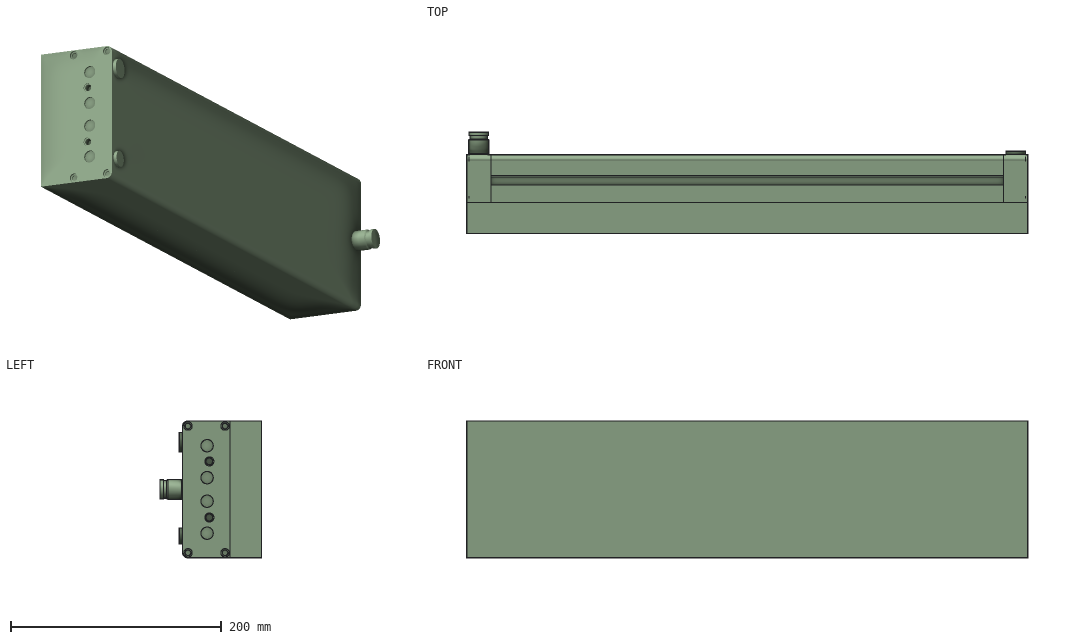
import cadquery as cq

length = 532.0
height = 130.0
plate_depth = 30.0
back_y = 75.0
connector_end_y = 96.5
cap_width = 23.0
back_edge_radius = 5.5

right_cap_x = length - cap_width
profile_length = length - 2 * cap_width
housing_depth = back_y - plate_depth

groove_front_y = 46.5
groove_back_y = 55.5
groove_ledge = 1.5
groove_depth = 6.5

screw_inset = 5.0
screw_back_inset = 5.5
screw_head_diameter = 8.0
screw_head_depth = 2.0
screw_core_diameter = 5.5
screw_core_depth = 3.0

plug_y = 51.5
plug_diameter = 11.5
plug_recess_depth = 2.0
plug_heights = (11.0, 41.5)
port_y = 49.5
port_height = 26.5
port_rim_diameter = 8.5
port_rim_depth = 1.0
port_diameter = 6.5
port_depth = 8.0

connector_diameter = 19.0
connector_neck_diameter = 17.0
connector_base_length = 1.0
connector_body_end_y = 90.0
connector_chamfer = 1.0
connector_collar_diameter = 18.5
connector_collar_y = 93.0

stud_length = 3.0
upper_stud_diameter = 18.5
upper_stud_z = 44.5
lower_stud_diameter = 15.5
lower_stud_z = -44.0


def housing_block(start_x, block_length):
    """Block behind the plate with its two long back edges rounded."""
    block = cq.Workplane("XY").box(block_length, housing_depth, height, centered=(False, False, True))
    return block.edges("|X and >Y").fillet(back_edge_radius).translate((start_x, plate_depth, 0))


def disc(x, z, diameter, start_y, end_y):
    """Cylinder along Y between two depths."""
    return cq.Workplane(
        cq.Solid.makeCylinder(diameter / 2, end_y - start_y, cq.Vector(x, start_y, z), cq.Vector(0, 1, 0))
    )


def blind_holes(places, diameter, depth):
    """Cylinders that start at X = 0 and run inwards at the given (Y, Z) places."""
    return cq.Workplane("YZ").pushPoints(places).circle(diameter / 2).extrude(depth)


def make_plate():
    return cq.Workplane("XY").box(length, plate_depth, height, centered=(False, False, True))


def make_profile():
    """Middle section with a groove whose back wall has a narrow step at the top."""
    top_z = height / 2
    groove = (
        cq.Workplane("YZ", origin=(cap_width, 0, 0))
        .moveTo(groove_front_y, top_z)
        .lineTo(groove_back_y, top_z)
        .lineTo(groove_back_y, top_z - groove_ledge)
        .lineTo(groove_back_y - groove_ledge, top_z - groove_ledge)
        .lineTo(groove_back_y - groove_ledge, top_z - groove_depth)
        .lineTo(groove_front_y, top_z - groove_depth)
        .close()
        .extrude(profile_length)
    )
    return housing_block(cap_width, profile_length).cut(groove)


def make_left_cap_block():
    """End cap with its outer face at X = 0."""
    screw_places = [
        (y, side * (height / 2 - screw_inset))
        for y in (plate_depth + screw_inset, back_y - screw_back_inset)
        for side in (-1, 1)
    ]
    plug_places = [(plug_y, side * z) for z in plug_heights for side in (-1, 1)]
    port_places = [(port_y, side * port_height) for side in (-1, 1)]
    cap = housing_block(0, cap_width)
    cap = cap.cut(blind_holes(screw_places, screw_head_diameter, screw_head_depth))
    cap = cap.cut(blind_holes(screw_places, screw_core_diameter, screw_core_depth))
    cap = cap.cut(blind_holes(plug_places, plug_diameter, plug_recess_depth))
    cap = cap.cut(blind_holes(port_places, port_rim_diameter, port_rim_depth))
    return cap.cut(blind_holes(port_places, port_diameter, port_depth))


def make_left_cap():
    x = cap_width / 2
    base_end_y = back_y + connector_base_length
    cap = make_left_cap_block()
    cap = cap.union(disc(x, 0, connector_neck_diameter, back_y, connector_collar_y))
    body = disc(x, 0, connector_diameter, base_end_y, connector_body_end_y)
    cap = cap.union(body.edges(">Y").chamfer(connector_chamfer))
    return cap.union(disc(x, 0, connector_collar_diameter, connector_collar_y, connector_end_y))


def make_right_cap():
    x = right_cap_x + cap_width / 2
    cap = make_left_cap_block().mirror("YZ").translate((length, 0, 0))
    cap = cap.union(disc(x, upper_stud_z, upper_stud_diameter, back_y, back_y + stud_length))
    return cap.union(disc(x, lower_stud_z, lower_stud_diameter, back_y, back_y + stud_length))


plate = make_plate()
profile = make_profile()
left_cap = make_left_cap()
right_cap = make_right_cap()

result = cq.Compound.makeCompound([plate.val(), profile.val(), left_cap.val(), right_cap.val()])